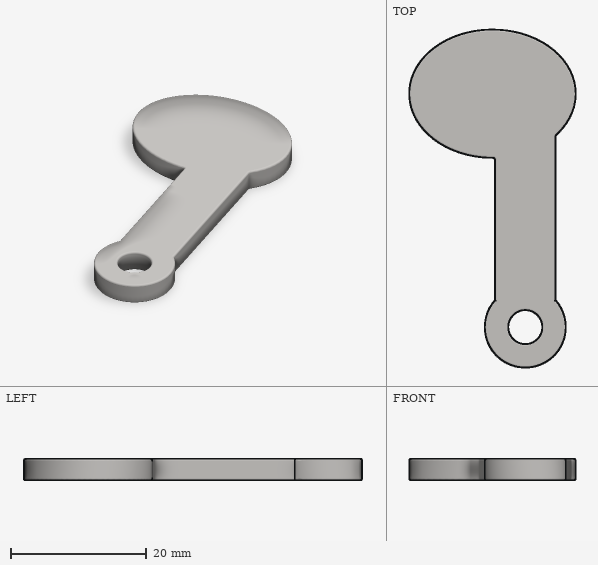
import cadquery as cq
import math

total_length = 49.95
thickness = 3.2
head_width = 24.65
head_depth = 19.0
eye_diameter = 12.0
hole_diameter = 5.0
arm_width = 9.0
head_offset = -4.85
edge_radius = 0.3
corner_radius = 0.3

head_y = total_length - (eye_diameter + head_depth) / 2


def make_eye():
    return cq.Workplane("XY").circle(eye_diameter / 2).extrude(thickness)


def make_arm():
    """Straight arm from the eye centre to the level of the head centre."""
    return (
        cq.Workplane("XY")
        .center(0, head_y / 2)
        .rect(arm_width, head_y)
        .extrude(thickness)
    )


def make_head():
    return (
        cq.Workplane("XY")
        .center(head_offset, head_y)
        .ellipse(head_width / 2, head_depth / 2)
        .extrude(thickness)
    )


def head_corner(x):
    """Middle of the upright edge where the arm side at x meets the head."""
    reach = (x - head_offset) / (head_width / 2)
    y = head_y - head_depth / 2 * math.sqrt(1 - reach**2)
    return (x, y, thickness / 2)


def round_head_corners(solid):
    for x in (-arm_width / 2, arm_width / 2):
        corner = cq.NearestToPointSelector(head_corner(x))
        solid = solid.edges(corner).fillet(corner_radius)
    return solid


body = make_eye().union(make_arm()).union(make_head())
body = round_head_corners(body)
body = body.cut(cq.Workplane("XY").circle(hole_diameter / 2).extrude(thickness))

for flat_face in (">Z", "<Z"):
    body = body.faces(flat_face).edges().fillet(edge_radius)

result = body